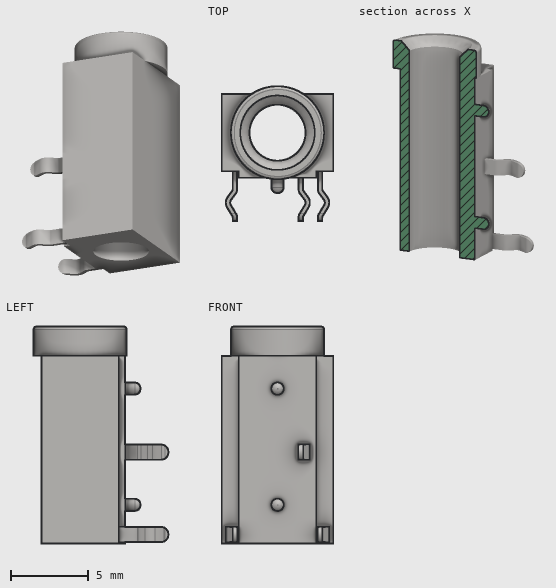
import cadquery as cq
import math

overall_height = 14.0
body_width = 7.2
body_depth = 5.0
body_height = 12.1
strip_width = 5.0
strip_thickness = 0.4
ledge_y = -body_depth / 2
strip_y = ledge_y - strip_thickness

collar_diameter = 6.0
collar_edge_radius = 0.2
bore_diameter = 3.6
bore_mouth_diameter = 4.8
bore_mouth_depth = (bore_mouth_diameter - bore_diameter) / 2

pin_diameter = 0.8
pin_dome_radius = 0.39
pin_reach = 1.0
pin_heights = (2.5, 10.0)

lead_thickness = 0.3
lead_width = 1.0
lead_root_depth = 0.14
lead_tip_y = -5.7
kink_start_y = -3.67
kink_rise_length = 0.84
kink_return_length = 0.94
kink_offset = 0.45
bend_radius = 0.25
crest_radius = 0.45
outer_lead_x = 2.75
inner_lead_x = 1.5
low_lead_bottom = 0.1
high_lead_bottom = 5.4


def make_housing():
    block = cq.Workplane("XY").box(body_width, body_depth, body_height, centered=(True, True, False))
    strip = (
        cq.Workplane("XY")
        .center(0, strip_y / 2)
        .rect(strip_width, -strip_y)
        .extrude(body_height)
    )
    collar = (
        cq.Workplane("XY", origin=(0, 0, body_height))
        .circle(collar_diameter / 2)
        .extrude(overall_height - body_height)
        .faces(">Z")
        .edges()
        .fillet(collar_edge_radius)
    )
    return block.union(strip).union(collar)


def make_bore():
    """Through bore with a conical mouth at the top."""
    bore_radius = bore_diameter / 2
    return (
        cq.Workplane("XZ")
        .lineTo(bore_radius, 0)
        .lineTo(bore_radius, overall_height - bore_mouth_depth)
        .lineTo(bore_mouth_diameter / 2, overall_height)
        .lineTo(0, overall_height)
        .close()
        .revolve(360, (0, 0, 0), (0, 1, 0))
    )


def make_pin(z):
    """Pin pointing along -Y, rooted in the strip, with a domed end."""
    radius = pin_diameter / 2
    root_depth = strip_thickness
    return (
        cq.Workplane("XZ", origin=(0, strip_y + root_depth, z))
        .circle(radius)
        .extrude(root_depth + pin_reach)
        .faces("<Y")
        .edges()
        .fillet(pin_dome_radius)
    )


def kink_tangents(length):
    """Ends of the straight flank in one half of the kink, as (sideways, lengthwise) offsets.

    The flank is the common tangent of the bend arc and the crest arc.
    """
    radius_sum = bend_radius + crest_radius
    flank = math.sqrt(length**2 + (kink_offset - radius_sum) ** 2 - radius_sum**2)
    angle = math.atan2(kink_offset - radius_sum, length) + math.atan2(radius_sum, flank)
    bend_end = (bend_radius * (1 - math.cos(angle)), bend_radius * math.sin(angle))
    flank_end = (
        bend_end[0] + flank * math.sin(angle),
        bend_end[1] + flank * math.cos(angle),
    )
    return bend_end, flank_end


def make_lead(x, bottom, side):
    """Flat lead along -Y whose kink bulges towards side (+1 or -1 in X)."""
    z = bottom + lead_width / 2
    root_y = ledge_y + lead_root_depth
    crest_y = kink_start_y - kink_rise_length
    kink_end_y = crest_y - kink_return_length
    rise_bend, rise_flank = kink_tangents(kink_rise_length)
    return_bend, return_flank = kink_tangents(kink_return_length)

    centreline = (
        cq.Workplane("XY", origin=(x, 0, z))
        .moveTo(0, root_y)
        .lineTo(0, kink_start_y)
        .tangentArcPoint((side * rise_bend[0], kink_start_y - rise_bend[1]), relative=False)
        .lineTo(side * rise_flank[0], kink_start_y - rise_flank[1])
        .tangentArcPoint((side * kink_offset, crest_y), relative=False)
        .tangentArcPoint((side * return_flank[0], kink_end_y + return_flank[1]), relative=False)
        .lineTo(side * return_bend[0], kink_end_y + return_bend[1])
        .tangentArcPoint((0, kink_end_y), relative=False)
        .lineTo(0, lead_tip_y)
    )
    ribbon = (
        cq.Workplane("XZ", origin=(x, root_y, z))
        .rect(lead_thickness, lead_width)
        .sweep(centreline)
    )

    tip_radius = lead_width / 2
    tip_start_y = lead_tip_y + tip_radius
    envelope = (
        cq.Workplane("YZ")
        .moveTo(root_y, z - tip_radius)
        .lineTo(tip_start_y, z - tip_radius)
        .threePointArc((lead_tip_y, z), (tip_start_y, z + tip_radius))
        .lineTo(root_y, z + tip_radius)
        .close()
        .extrude(body_width, both=True)
    )
    return ribbon.intersect(envelope)


result = make_housing().cut(make_bore())

for pin_z in pin_heights:
    result = result.union(make_pin(pin_z))

for lead_x, lead_bottom, bulge_side in (
    (-outer_lead_x, low_lead_bottom, -1),
    (outer_lead_x, low_lead_bottom, 1),
    (inner_lead_x, high_lead_bottom, 1),
):
    result = result.union(make_lead(lead_x, lead_bottom, bulge_side))